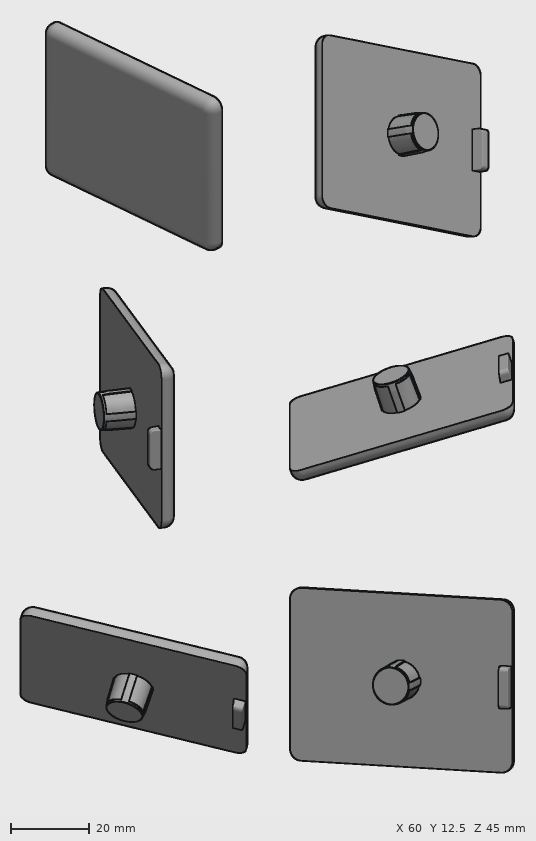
import cadquery as cq

plate_length = 60.0
plate_height = 45.0
overall_depth = 12.5
plate_thickness = 4.0
plate_round = 3.0

peg_length = overall_depth - plate_thickness
peg_base_radius = 5.3
peg_shoulder_radius = 5.15
peg_tip_radius = 4.85
peg_lead_in = 2.3
peg_tip_chamfer = 0.1
core_base_radius = 5.05
core_tip_radius = 4.85
cap_thickness = 0.7
rib_width = 2.05
pocket_count = 4

tab_width = 10.8
tab_height = 3.0
tab_inset = 0.25
tab_base_depth = 3.05
tab_tip_depth = 2.5
tab_corner_radius = 1.15
tab_edge_round = 0.2

embed = 0.6


def make_plate():
    """Slab with rounded corners and a rounded front rim of the same radius."""
    slab = (
        cq.Workplane("XY")
        .box(plate_length, plate_thickness, plate_height)
        .translate((0, -plate_thickness / 2, 0))
    )
    return slab.edges("|Y").fillet(plate_round).faces("<Y").edges().fillet(plate_round)


def make_pocket():
    """Quarter recess between two neighbouring ribs, down to the core."""
    reach = 2 * peg_base_radius
    depth = peg_length - cap_thickness
    corner = rib_width / 2
    block = cq.Workplane("XY").box(reach, depth, reach, centered=False).translate((corner, 0, corner))
    core = (
        cq.Workplane("XY")
        .lineTo(core_base_radius, 0)
        .lineTo(core_tip_radius, depth)
        .lineTo(0, depth)
        .close()
        .revolve(360, (0, 0, 0), (0, 1, 0))
    )
    return block.cut(core)


def make_peg():
    """Tapered peg with a conical lead-in and recesses between its ribs."""
    peg = (
        cq.Workplane("XY")
        .moveTo(0, -embed)
        .lineTo(peg_base_radius, -embed)
        .lineTo(peg_base_radius, 0)
        .lineTo(peg_shoulder_radius, peg_length - peg_lead_in)
        .lineTo(peg_tip_radius, peg_length)
        .lineTo(0, peg_length)
        .close()
        .revolve(360, (0, 0, 0), (0, 1, 0))
        .faces(">Y")
        .chamfer(peg_tip_chamfer)
    )
    pocket = make_pocket()
    for index in range(pocket_count):
        peg = peg.cut(pocket.rotate((0, 0, 0), (0, 1, 0), index * 360 / pocket_count))
    return peg


def make_tab():
    """Upright tab with a sloped inner side, rounded top corners and softened edges."""
    outer_x = -plate_length / 2 + tab_inset
    tab_slope = (tab_base_depth - tab_tip_depth) / tab_height
    tab = (
        cq.Workplane("XY")
        .moveTo(outer_x, -embed)
        .lineTo(outer_x + tab_base_depth + embed * tab_slope, -embed)
        .lineTo(outer_x + tab_tip_depth, tab_height)
        .lineTo(outer_x, tab_height)
        .close()
        .extrude(tab_width / 2, both=True)
    )
    tab = tab.faces(">Y").edges("|X").fillet(tab_corner_radius)
    side_rims = tab.faces("<X or >X").edges("not <Y")
    return side_rims.fillet(tab_edge_round)


result = make_plate().union(make_peg()).union(make_tab())